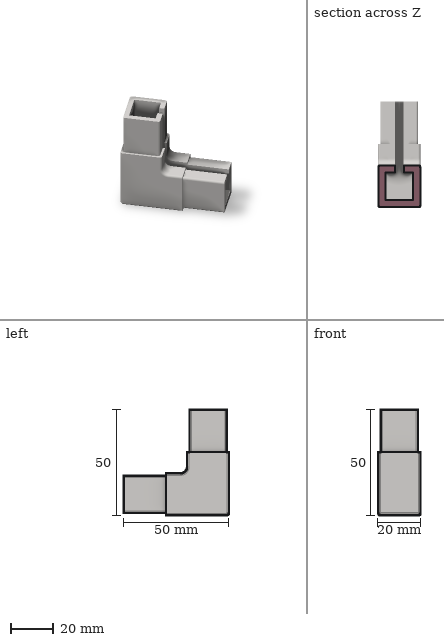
import cadquery as cq

overall_length = 50.0
sleeve_length = 30.0
sleeve_width = 20.0
plug_inset = 1.1
wall = 2.5
slot_width = 4.1
edge_radius = 1.0
heel_radius = 1.5
throat_radius = 3.0

plug_width = sleeve_width - 2 * plug_inset
bore_width = plug_width - 2 * wall
bore_start = plug_inset + wall
axis_offset = sleeve_width / 2


def elbow_prism(start, depth, reach, width):
    """L-shaped prism in the YZ plane, centred on X = 0, with equal arms along +Y and +Z."""
    inner = start + depth
    return (
        cq.Workplane("YZ")
        .moveTo(start, start)
        .lineTo(reach, start)
        .lineTo(reach, inner)
        .lineTo(inner, inner)
        .lineTo(inner, reach)
        .lineTo(start, reach)
        .close()
        .extrude(width / 2, both=True)
    )


def elbow_body():
    """Solid elbow with a rounded heel, a rounded throat and rounded side edges."""
    heel = cq.selectors.NearestToPointSelector((0, 0, 0))
    throat = cq.selectors.NearestToPointSelector((0, sleeve_width, sleeve_width))
    body = elbow_prism(0, sleeve_width, sleeve_length, sleeve_width)
    body = body.edges("|X").edges(heel).fillet(heel_radius)
    body = body.edges("|X").edges(throat).fillet(throat_radius)

    end_edges = body.faces(">Y or >Z").edges().vals()
    side_edges = body.faces("<X or >X").edges().filter(lambda edge: edge not in end_edges)
    return side_edges.fillet(edge_radius)


def plug(direction):
    """Square plug with rounded long edges that continues one arm along "Y" or "Z"."""
    length = overall_length - sleeve_length
    arm_middle = sleeve_length + length / 2
    if direction == "Y":
        block = cq.Workplane().box(plug_width, length, plug_width)
        place = (0, arm_middle, axis_offset)
    else:
        block = cq.Workplane().box(plug_width, plug_width, length)
        place = (0, axis_offset, arm_middle)
    return block.edges("|" + direction).fillet(edge_radius).translate(place)


bore = elbow_prism(bore_start, bore_width, overall_length, bore_width)

slot_span = overall_length - bore_start
slot = cq.Workplane().box(slot_width, slot_span, slot_span, centered=(True, False, False))
slot = slot.translate((0, bore_start, bore_start))

result = elbow_body().union(plug("Y")).union(plug("Z")).cut(bore).cut(slot)